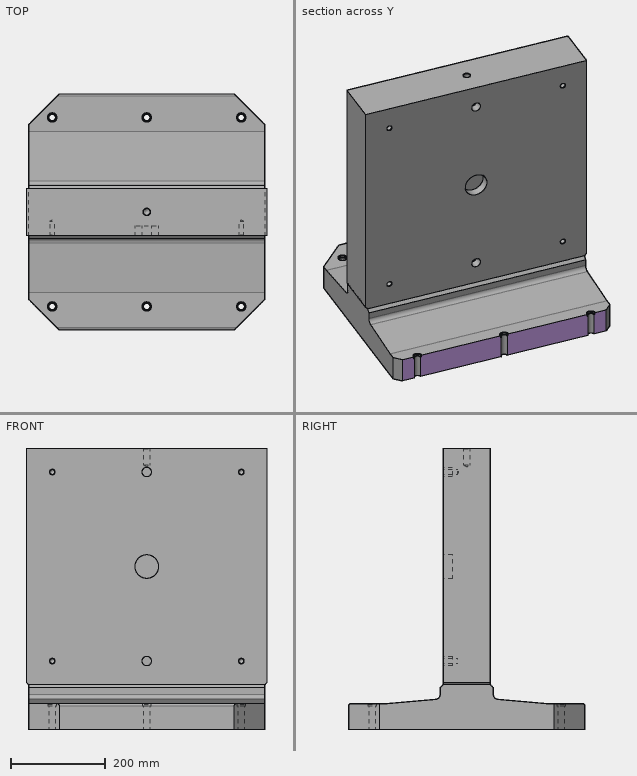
import cadquery as cq
import math

base_size = 500.0
base_edge_height = 55.0
base_corner_cut = 65.0
base_edge_fillet = 5.0
flat_band_width = 80.0

plate_width = 510.0
plate_thickness = 100.0
plate_bottom = 95.0
plate_end_chamfer = 5.0
total_height = 595.0

slope_angle = 5.0
neck_overhang = 6.5
neck_width = plate_thickness + 2 * neck_overhang
neck_fillet = 10.0

hole_offset = 200.0
bore_height = 345.0
center_bore_diameter = 50.0
center_bore_depth = 20.0
locating_hole_diameter = 20.0
locating_hole_depth = 20.0
thread_hole_diameter = 10.2
thread_hole_mouth = 12.0
thread_hole_depth = 30.0
lifting_hole_diameter = 14.0
lifting_hole_mouth = 16.0
lifting_hole_depth = 35.0
drill_point_angle = 118.0
full_turn = 360.0
base_hole_diameter = 13.5
base_hole_counterbore = 17.0
base_hole_counterbore_depth = 5.0
base_hole_mouth = 20.0


def edge_selector(y, z):
    """Selector for the edge along X that passes through (0, y, z)."""
    reach = 1.0
    return cq.selectors.BoxSelector((-reach, y - reach, z - reach), (reach, y + reach, z + reach))


def make_base():
    """Base and neck profile extruded along X, with the four vertical corners cut."""
    half_base = base_size / 2
    half_neck = neck_width / 2
    band_start = half_base - flat_band_width
    slope_run = band_start - half_neck
    neck_foot = base_edge_height + slope_run * math.tan(math.radians(slope_angle))
    positive_side = [
        (half_base, 0),
        (half_base, base_edge_height),
        (band_start, base_edge_height),
        (half_neck, neck_foot),
        (half_neck, plate_bottom - neck_overhang),
        (plate_thickness / 2, plate_bottom),
    ]
    negative_side = [(-y, z) for y, z in reversed(positive_side)]
    body = (
        cq.Workplane("YZ")
        .polyline(positive_side + negative_side)
        .close()
        .extrude(base_size / 2, both=True)
    )
    for side in (-1, 1):
        body = body.edges(edge_selector(side * half_neck, neck_foot)).fillet(neck_fillet)
        body = body.edges(edge_selector(side * half_base, base_edge_height)).fillet(base_edge_fillet)

    footprint = (
        cq.Workplane("XY")
        .rect(base_size, base_size)
        .extrude(plate_bottom)
        .edges("|Z")
        .chamfer(base_corner_cut)
    )
    return body.intersect(footprint)


def make_plate():
    """Upright plate whose lower ends taper in to the width of the base."""
    return (
        cq.Workplane("XY")
        .workplane(offset=plate_bottom)
        .rect(plate_width, plate_thickness)
        .extrude(total_height - plate_bottom)
        .faces("<Z")
        .edges("|Y")
        .chamfer(plate_end_chamfer)
    )


def make_drilled_hole(diameter, mouth_diameter, depth):
    """Cutter for a blind hole with a 45 degree mouth and a drill point, along -Z from the origin."""
    radius = diameter / 2
    mouth_radius = mouth_diameter / 2
    point_length = radius / math.tan(math.radians(drill_point_angle / 2))
    return (
        cq.Workplane("XZ")
        .polyline([
            (0, 0),
            (mouth_radius, 0),
            (radius, radius - mouth_radius),
            (radius, -depth),
            (0, -depth - point_length),
        ])
        .close()
        .revolve(full_turn, (0, 0), (0, 1))
    )


def cut_plate_holes(body):
    """Bore, locating holes and threaded holes in the front face, and the lifting hole on top."""
    front = -plate_thickness / 2
    face = cq.Workplane("XZ", origin=(0, front, bore_height))
    body = body.cut(face.circle(center_bore_diameter / 2).extrude(-center_bore_depth))
    locating_holes = (
        face.pushPoints([(0, -hole_offset), (0, hole_offset)])
        .circle(locating_hole_diameter / 2)
        .extrude(-locating_hole_depth)
    )
    body = body.cut(locating_holes)

    thread_hole = make_drilled_hole(thread_hole_diameter, thread_hole_mouth, thread_hole_depth)
    thread_hole = thread_hole.rotate((0, 0, 0), (1, 0, 0), 90)
    for x in (-hole_offset, hole_offset):
        for z in (-hole_offset, hole_offset):
            body = body.cut(thread_hole.translate((x, front, bore_height + z)))

    lifting_hole = make_drilled_hole(lifting_hole_diameter, lifting_hole_mouth, lifting_hole_depth)
    return body.cut(lifting_hole.translate((0, 0, total_height)))


def cut_base_holes(body):
    """Two rows of three through holes with shallow, chamfered counterbores along the flat bands."""
    radius = base_hole_diameter / 2
    counterbore_radius = base_hole_counterbore / 2
    mouth_radius = base_hole_mouth / 2
    counterbore_floor = base_edge_height - base_hole_counterbore_depth
    chamfer_bottom = base_edge_height - (mouth_radius - counterbore_radius)
    hole = (
        cq.Workplane("XZ")
        .polyline([
            (0, 0),
            (radius, 0),
            (radius, counterbore_floor),
            (counterbore_radius, counterbore_floor),
            (counterbore_radius, chamfer_bottom),
            (mouth_radius, base_edge_height),
            (0, base_edge_height),
        ])
        .close()
        .revolve(full_turn, (0, 0), (0, 1))
    )
    for x in (-hole_offset, 0, hole_offset):
        for y in (-hole_offset, hole_offset):
            body = body.cut(hole.translate((x, y, 0)))
    return body


blank = make_base().union(make_plate())
result = cut_base_holes(cut_plate_holes(blank))